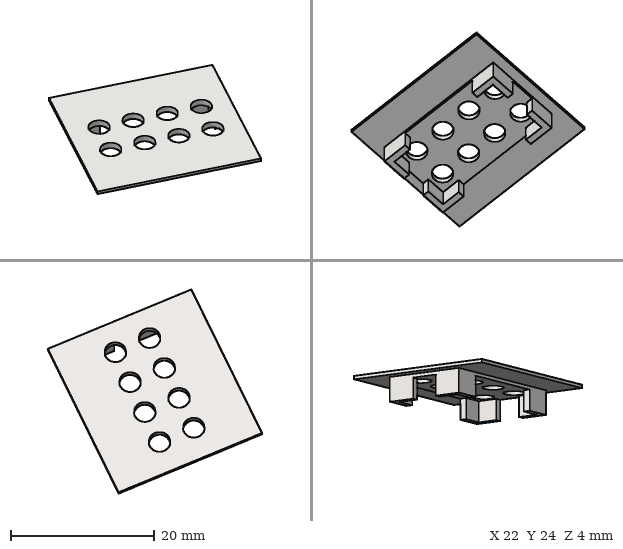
import cadquery as cq

plate_width = 22.0
plate_length = 24.0
plate_thickness = 0.5

pad_width = 11.9
pad_length = 20.9
pad_thickness = 0.5
leg_size = 4.0
leg_wall = 1.0
total_height = 4.0

hole_diameter = 3.0
hole_columns = 2
hole_rows = 4
column_pitch = 5.25
row_pitch = 5.0
hole_grid_offset_y = 0.15

plate_bottom = total_height - plate_thickness
pad_bottom = plate_bottom - pad_thickness


def box_on_level(width, length, height, bottom):
    """Box centred on the Z axis, standing on the given level."""
    return cq.Workplane("XY").workplane(offset=bottom).rect(width, length).extrude(height)


def corner_legs():
    """Four L-shaped legs: square corner blocks with the inside hollowed out."""
    corner_blocks = (
        cq.Workplane("XY")
        .rect(pad_width - leg_size, pad_length - leg_size, forConstruction=True)
        .vertices()
        .rect(leg_size, leg_size)
        .extrude(pad_bottom)
    )
    inside = box_on_level(
        pad_width - 2 * leg_wall, pad_length - 2 * leg_wall, pad_bottom, 0
    )
    return corner_blocks.cut(inside)


def hole_cutters():
    """Cylinders through the plate and the pad."""
    return (
        cq.Workplane("XY")
        .workplane(offset=pad_bottom)
        .center(0, hole_grid_offset_y)
        .rarray(column_pitch, row_pitch, hole_columns, hole_rows)
        .circle(hole_diameter / 2)
        .extrude(plate_thickness + pad_thickness)
    )


plate = box_on_level(plate_width, plate_length, plate_thickness, plate_bottom)
pad = box_on_level(pad_width, pad_length, pad_thickness, pad_bottom)

result = plate.union(pad).union(corner_legs()).cut(hole_cutters())